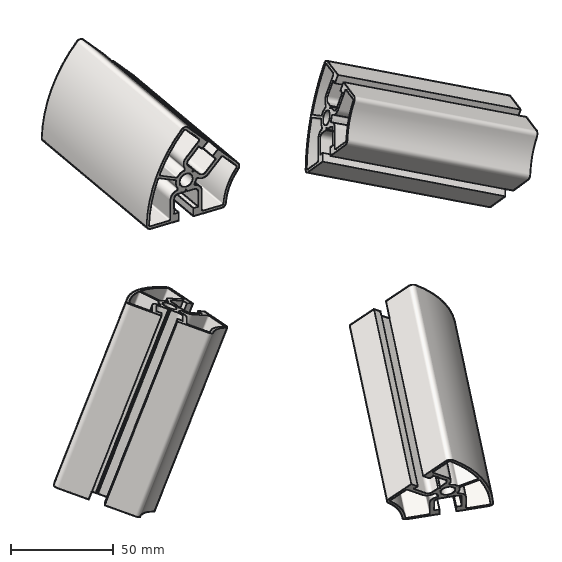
import cadquery as cq
import math

length = 100.0
bend_angle = 45.0
face_distance = 21.5
half_width = 22.5
face_wall = 1.6
curved_wall = 1.5
rib_width = 1.4
outer_corner_radius = 2.5
cavity_corner_radius = 0.8

bore_diameter = 7.3
hub_radius = 5.8

slot_opening = 8.3
slot_width = 13.7
slot_floor = 6.3
slot_corner_radius = 2.4
lip_depth = 4.6
slot_wall = 2.1
notch_width = 1.2
notch_depth = 1.0

half_bend = math.radians(bend_angle / 2)
bend_y = face_distance / math.tan(half_bend)
inner_radius = bend_y - half_width
outer_radius = bend_y + half_width
slot_turns = (0, 180 - bend_angle)


def ring_sector(small_radius, large_radius, face_offset):
    """Sector about the bend axis whose straight sides are set in by face_offset."""
    def point(radius, side):
        if side == 0:
            angle = half_bend
        elif side < 0:
            angle = math.asin(face_offset / radius)
        else:
            angle = 2 * half_bend - math.asin(face_offset / radius)
        return (bend_y - radius * math.cos(angle), -face_distance + radius * math.sin(angle))

    return (
        cq.Workplane("YZ")
        .moveTo(*point(small_radius, -1))
        .lineTo(*point(large_radius, -1))
        .threePointArc(point(large_radius, 0), point(large_radius, 1))
        .lineTo(*point(small_radius, 1))
        .threePointArc(point(small_radius, 0), point(small_radius, -1))
        .close()
        .extrude(length)
    )


def rounded_channel(width, floor, radius):
    """Straight-sided channel below the bore, with two rounded corners at its floor."""
    bottom = -2 * face_distance
    height = -floor - bottom
    return (
        cq.Workplane("YZ")
        .center(0, bottom + height / 2)
        .rect(width, height)
        .extrude(length)
        .edges("|X and >Z")
        .fillet(radius)
    )


def turn_to_face(body, angle):
    return body.rotate((0, 0, 0), (1, 0, 0), angle)


def slot_cutter():
    """Lipped slot with a small V notch along the middle of its floor."""
    lip_top = lip_depth - face_distance
    lip_spacing = slot_width + slot_opening
    lips = (
        cq.Workplane("YZ")
        .pushPoints([(side * lip_spacing / 2, lip_top - face_distance) for side in (-1, 1)])
        .rect(slot_width, 2 * face_distance)
        .extrude(length)
    )
    notch = (
        cq.Workplane("YZ")
        .polyline([
            (-notch_width / 2, -slot_floor),
            (0, notch_depth - slot_floor),
            (notch_width / 2, -slot_floor),
        ])
        .close()
        .extrude(length)
    )
    return rounded_channel(slot_width, slot_floor, slot_corner_radius).cut(lips).union(notch)


def soften(cavity):
    """Round the sharp corners of a cavity by shrinking and regrowing its outline."""
    return (
        cavity.faces("<X")
        .wires()
        .toPending()
        .offset2D(-cavity_corner_radius)
        .wires()
        .toPending()
        .offset2D(cavity_corner_radius)
    )


def cavities():
    """Hollow spaces left between the walls, slot housings, hub and rib."""
    space = ring_sector(inner_radius + curved_wall, outer_radius - curved_wall, face_wall)
    space = space.cut(cq.Workplane("YZ").circle(hub_radius).extrude(length))
    housing = rounded_channel(
        slot_width + 2 * slot_wall, slot_floor - slot_wall, slot_corner_radius + slot_wall
    )
    for angle in slot_turns:
        space = space.cut(turn_to_face(housing, angle))
    rib = (
        cq.Workplane("YZ")
        .center(-outer_radius / 2, 0)
        .rect(outer_radius, rib_width)
        .extrude(length)
    )
    space = space.cut(turn_to_face(rib, -bend_angle / 2))
    outlines = [soften(cq.Workplane(cavity)).val() for cavity in space.solids().vals()]
    return [
        cq.Workplane(cq.Solid.extrudeLinear(outline, [], cq.Vector(length, 0, 0)))
        for outline in outlines
    ]


result = ring_sector(inner_radius, outer_radius, 0).edges("|X").fillet(outer_corner_radius)
for cavity in cavities():
    result = result.cut(cavity)
for slot_turn in slot_turns:
    result = result.cut(turn_to_face(slot_cutter(), slot_turn))
bore = cq.Workplane("YZ").circle(bore_diameter / 2).extrude(length)
result = result.cut(bore)